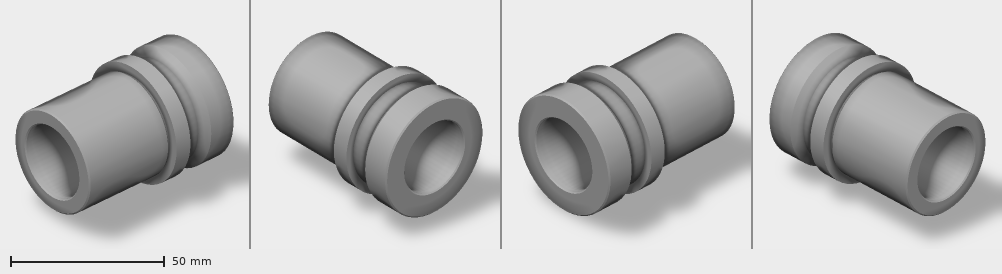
import cadquery as cq

length = 60.0
head_diameter = 43.0
body_diameter = 37.0
bore_diameter = 26.15

front_chamfer = 0.5
back_chamfer = 0.5
bore_chamfer = 0.4

head_length = 10.0
cone_length = (head_diameter - body_diameter) / 2
neck_length = 6.0
flange_length = 6.0

undercut_length = 0.6
undercut_depth = 0.5

head_radius = head_diameter / 2
body_radius = body_diameter / 2
bore_radius = bore_diameter / 2
undercut_radius = body_radius - undercut_depth

front = -length / 2
back = length / 2
cone_back = back - head_length
cone_front = cone_back - cone_length
flange_back = cone_front - neck_length
flange_front = flange_back - flange_length
undercut_front = flange_front - undercut_length
undercut_runout = undercut_front - undercut_depth

profile = [
    (bore_radius + bore_chamfer, front),
    (body_radius - front_chamfer, front),
    (body_radius, front + front_chamfer),
    (body_radius, undercut_runout),
    (undercut_radius, undercut_front),
    (undercut_radius, flange_front),
    (head_radius, flange_front),
    (head_radius, flange_back),
    (body_radius, flange_back),
    (body_radius, cone_front),
    (head_radius, cone_back),
    (head_radius, back - back_chamfer),
    (head_radius - back_chamfer, back),
    (bore_radius + bore_chamfer, back),
    (bore_radius, back - bore_chamfer),
    (bore_radius, front + bore_chamfer),
]

result = cq.Workplane("XY").polyline(profile).close().revolve(360, (0, 0, 0), (0, 1, 0))